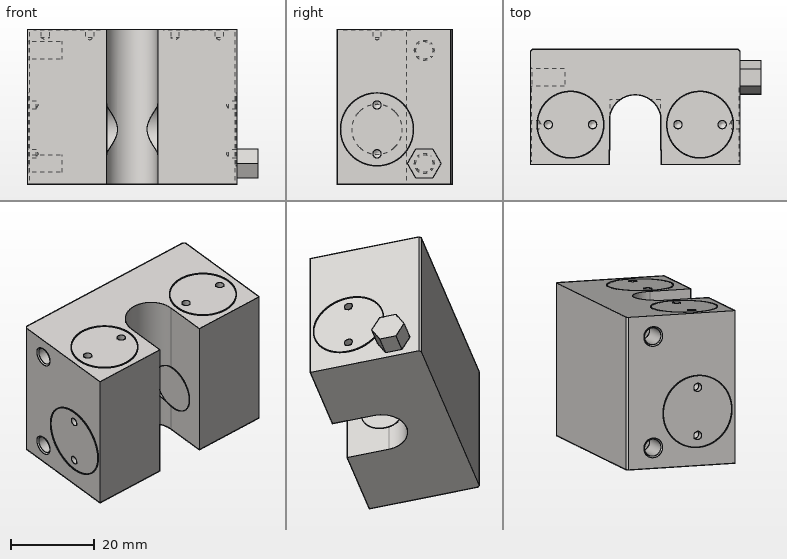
import cadquery as cq
import math

overall_length = 55.0
block_length = 50.0
block_depth = 27.5
block_height = 37.0
back_edge_chamfer = 0.45
half_length = block_length / 2

slot_width = 12.4
slot_radius = slot_width / 2
slot_end_y = 16.6
slot_centre_y = slot_end_y - slot_radius

groove_depth = 0.2
plug_y = 9.5
top_plug_x = 15.45
top_plug_diameter = 15.8
top_bore_diameter = 16.0
top_pin_spacing = 10.55
side_plug_z = 13.15
side_plug_diameter = 17.3
side_bore_diameter = 17.5
side_pin_spacing = 11.65

pin_hole_diameter = 2.0
pin_hole_depth = 2.0
drill_tip_angle = 118.0

pad_diameter = 12.0
pad_projection = 0.15
pad_gap = slot_width - 2 * pad_projection

port_y = 20.8
port_edge_offset = 5.0
port_diameter = 4.1
port_mouth_diameter = 4.8
port_depth = 8.25
hex_across_flats = 7.0
hex_length = overall_length - block_length


def make_block():
    block = cq.Workplane("XY").box(block_length, block_depth, block_height, centered=(True, False, False))
    return block.edges("|Z and >Y").chamfer(back_edge_chamfer)


def make_slot():
    straight = cq.Workplane("XY").box(slot_width, slot_centre_y, block_height, centered=(True, False, False))
    round_end = cq.Workplane("XY").center(0, slot_centre_y).circle(slot_radius).extrude(block_height)
    return straight.union(round_end)


def slot_cross_bar(length):
    """Round bar of the pad diameter lying across the slot, centred on it."""
    plane = cq.Plane(origin=(0, plug_y, side_plug_z), xDir=(0, 1, 0), normal=(1, 0, 0))
    return cq.Workplane(plane).circle(pad_diameter / 2).extrude(length / 2, both=True)


def drill(diameter, depth):
    """Blind hole going down from the origin, ending in a drill tip."""
    radius = diameter / 2
    tip_depth = radius / math.tan(math.radians(drill_tip_angle / 2))
    profile = [(0, 0), (radius, 0), (radius, -depth), (0, -depth - tip_depth)]
    return cq.Workplane("XZ").polyline(profile).close().revolve(360, (0, 0), (0, 1))


def plug_marks(bore_diameter, plug_diameter, pin_spacing):
    """Ring groove and two pin holes going down from the origin, with the pins along X."""
    marks = cq.Workplane("XY").circle(bore_diameter / 2).circle(plug_diameter / 2).extrude(-groove_depth)
    for side in (-1, 1):
        pin_hole = drill(pin_hole_diameter, pin_hole_depth)
        marks = marks.union(pin_hole.translate((side * pin_spacing / 2, 0, 0)))
    return marks


def make_port():
    """Blind port with a chamfered mouth going down from the origin."""
    mouth_radius = port_mouth_diameter / 2
    radius = port_diameter / 2
    mouth_depth = mouth_radius - radius
    profile = [(0, 0), (mouth_radius, 0), (radius, -mouth_depth), (radius, -port_depth), (0, -port_depth)]
    return cq.Workplane("XZ").polyline(profile).close().revolve(360, (0, 0), (0, 1))


def face_side(shape, side):
    """Turn a shape made for the top so that it enters the left (-1) or right (1) side."""
    return shape.rotate((0, 0, 0), (0, 1, 0), side * 90)


def make_hex_fitting():
    across_corners = hex_across_flats / math.cos(math.pi / 6)
    plane = cq.Plane(origin=(half_length, port_y, port_edge_offset), xDir=(0, 1, 0), normal=(1, 0, 0))
    return cq.Workplane(plane).polygon(6, across_corners).extrude(hex_length)


result = make_block().cut(make_slot())

result = result.union(slot_cross_bar(slot_width)).cut(slot_cross_bar(pad_gap))

for side in (-1, 1):
    top_marks = plug_marks(top_bore_diameter, top_plug_diameter, top_pin_spacing)
    result = result.cut(top_marks.translate((side * top_plug_x, plug_y, block_height)))
    side_marks = face_side(plug_marks(side_bore_diameter, side_plug_diameter, side_pin_spacing), side)
    result = result.cut(side_marks.translate((side * half_length, plug_y, side_plug_z)))

for port_z in (port_edge_offset, block_height - port_edge_offset):
    result = result.cut(face_side(make_port(), -1).translate((-half_length, port_y, port_z)))

result = result.union(make_hex_fitting())